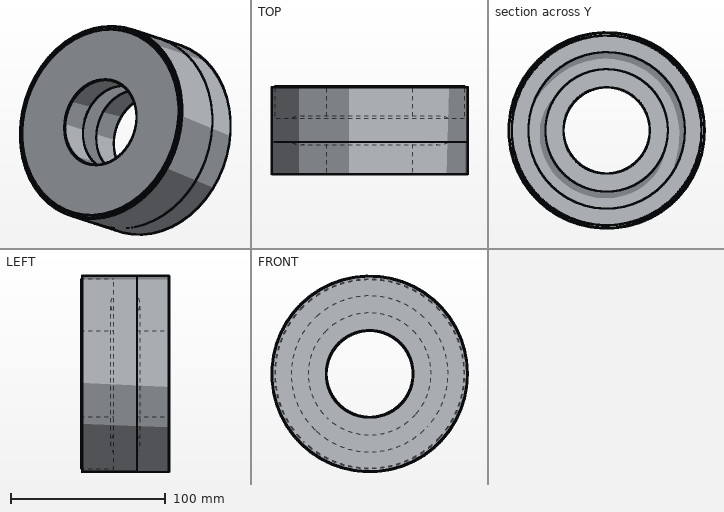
import cadquery as cq

total_length = 57.2
outer_radius = 63.5
bore_radius = 27.8
washer_gap = 15.2
chamfer = 0.5

sleeve_inner_radius = 63.0
sleeve_recess = 0.5
sleeve_rim_chamfer = 0.4

shaft_washer_radius = 61.5

raceway_inner_radius = 39.6
raceway_section_radius = 9.4

front_y = -total_length / 2
rear_y = total_length / 2
sleeve_rear_y = rear_y - sleeve_recess
half_gap = washer_gap / 2
raceway_half_width = (raceway_section_radius**2 - half_gap**2) ** 0.5
raceway_pitch_radius = raceway_inner_radius + raceway_half_width


def revolve_about_y(profile):
    return profile.revolve(360, (0, 0, 0), (0, 1, 0))


def ring_from_points(points):
    """Ring whose half section has the given (radius, y) corners."""
    return revolve_about_y(cq.Workplane("XY").polyline(points).close())


def make_raceway_cutter():
    """Torus that cuts matching grooves into both washers."""
    section = cq.Workplane("XY").moveTo(raceway_pitch_radius, 0).circle(raceway_section_radius)
    return revolve_about_y(section)


def make_housing_washer():
    washer = ring_from_points([
        (bore_radius + chamfer, front_y),
        (outer_radius - chamfer, front_y),
        (outer_radius, front_y + chamfer),
        (outer_radius, sleeve_rear_y - sleeve_rim_chamfer),
        (outer_radius - sleeve_rim_chamfer, sleeve_rear_y),
        (sleeve_inner_radius, sleeve_rear_y),
        (sleeve_inner_radius, -half_gap),
        (bore_radius, -half_gap),
        (bore_radius, front_y + chamfer),
    ])
    return washer.cut(make_raceway_cutter())


def make_shaft_washer():
    washer = ring_from_points([
        (bore_radius, half_gap),
        (shaft_washer_radius, half_gap),
        (shaft_washer_radius, rear_y - chamfer),
        (shaft_washer_radius - chamfer, rear_y),
        (bore_radius + chamfer, rear_y),
        (bore_radius, rear_y - chamfer),
    ])
    return washer.cut(make_raceway_cutter())


housing_washer = make_housing_washer()
shaft_washer = make_shaft_washer()

result = cq.Compound.makeCompound([housing_washer.val(), shaft_washer.val()])